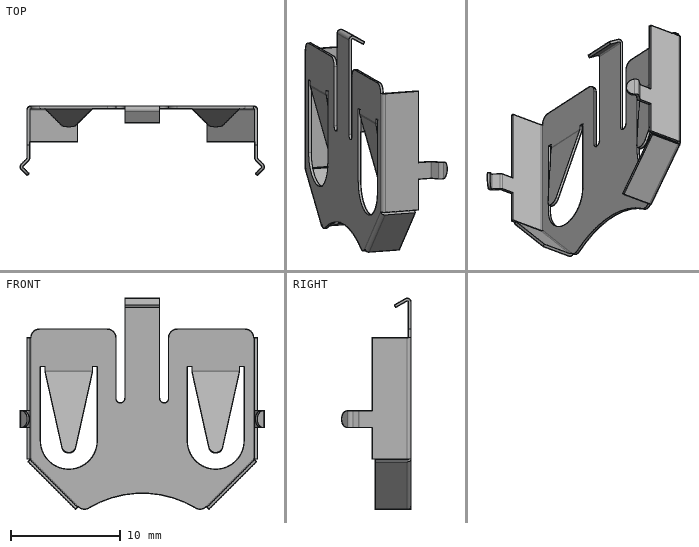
import cadquery as cq
import math


thickness = 0.26
bend_outer_radius = 0.35
bend_mid_radius = bend_outer_radius - thickness / 2

overall_width = 22.35
overall_depth = 6.37
overall_height = 19.32

flange_span = 21.1
plate_half_width = flange_span / 2 - bend_outer_radius
plate_top = 16.5
plate_corner_radius = 0.8
knee_height = 4.6
coin_arc_radius = 9.5
coin_arc_top = 1.47
foot_radius = 0.75

tab_half_width = 1.6
tab_slot_width = 0.8
tab_slot_bottom = 9.75
lip_bend = 120
lip_length = 1.17

window_center_x = 6.72
window_width = 5.18
window_top = 13.05
window_bottom = 3.68
tongue_width = 4.36
tongue_bend_height = 12.65
tongue_bend = 12.5
tongue_length = 7.63
tongue_tip_radius = 0.65

side_flange_depth = 3.57
lower_flange_depth = 3.29
lower_flange_tilt = 45

arm_width = 1.55
arm_center_height = 8.25
arm_bend = 45


def bent_strip(plane, start, heading, steps):
    """Closed edge-on outline of a bent sheet.

    start is on the middle of the sheet, heading is in degrees, and steps are
    ("go", length) or ("turn", degrees), positive turns being to the left.
    """
    x, y = start
    half = thickness / 2

    def face_point(side, px, py, direction):
        angle = math.radians(direction)
        return (px - side * half * math.sin(angle), py + side * half * math.cos(angle))

    stations = [("go", x, y, heading)]
    for kind, amount in steps:
        if kind == "go":
            x += amount * math.cos(math.radians(heading))
            y += amount * math.sin(math.radians(heading))
            stations.append(("go", x, y, heading))
            continue
        chord = 2 * bend_mid_radius * math.sin(math.radians(abs(amount) / 4))
        for bend_station in ("bend middle", "bend end"):
            chord_angle = math.radians(heading + amount / 4)
            x += chord * math.cos(chord_angle)
            y += chord * math.sin(chord_angle)
            heading += amount / 2
            stations.append((bend_station, x, y, heading))

    left = [face_point(1, *station[1:]) for station in stations]
    right = [face_point(-1, *station[1:]) for station in stations]
    kinds = [station[0] for station in stations]

    outline = cq.Workplane(plane).moveTo(*left[0])
    for i in range(1, len(kinds)):
        if kinds[i] == "go":
            outline = outline.lineTo(*left[i])
        elif kinds[i] == "bend end":
            outline = outline.threePointArc(left[i - 1], left[i])
    outline = outline.lineTo(*right[-1])
    for i in range(len(kinds) - 1, 0, -1):
        if kinds[i] == "go":
            outline = outline.lineTo(*right[i - 1])
        elif kinds[i] == "bend end":
            outline = outline.threePointArc(right[i - 1], right[i - 2])
    return outline.close()


def both_sides(left_part):
    return left_part.union(left_part.mirror("YZ"))


def make_tab_slot():
    """Cutter for the round-bottomed slot on the left of the tab, open at the top."""
    radius = tab_slot_width / 2
    center_x = -tab_half_width - radius
    arc_center_z = tab_slot_bottom + radius
    return (
        cq.Workplane("XZ")
        .moveTo(center_x - radius, plate_top)
        .lineTo(center_x - radius, arc_center_z)
        .threePointArc((center_x, tab_slot_bottom), (center_x + radius, arc_center_z))
        .lineTo(center_x + radius, plate_top)
        .close()
        .extrude(thickness)
    )


def make_plate():
    coin_center_z = coin_arc_top - coin_arc_radius
    edge_sum = knee_height - plate_half_width
    middle = (edge_sum + coin_center_z) / 2
    offset = (edge_sum - coin_center_z) / 2
    foot_z = middle + math.sqrt(coin_arc_radius**2 / 2 - offset**2)
    foot_x = edge_sum - foot_z

    body = (
        cq.Workplane("XZ")
        .moveTo(-plate_half_width, plate_top)
        .lineTo(-plate_half_width, knee_height)
        .lineTo(foot_x, foot_z)
        .threePointArc((0, coin_arc_top), (-foot_x, foot_z))
        .lineTo(plate_half_width, knee_height)
        .lineTo(plate_half_width, plate_top)
        .close()
        .extrude(thickness)
    )
    body = body.edges("|Y").edges("<Z").fillet(foot_radius)

    tab_top = overall_height - bend_outer_radius
    tab = (
        cq.Workplane("XZ")
        .center(0, (tab_slot_bottom + tab_top) / 2)
        .rect(2 * tab_half_width, tab_top - tab_slot_bottom)
        .extrude(thickness)
    )
    body = body.union(tab).cut(both_sides(make_tab_slot()))
    return body.edges("|Y").edges(">>Z[-2]").fillet(plate_corner_radius)


def make_lip():
    start = (-thickness / 2, overall_height - bend_outer_radius)
    steps = [("turn", lip_bend), ("go", lip_length)]
    return bent_strip("YZ", start, 90, steps).extrude(tab_half_width, both=True)


def make_window():
    radius = window_width / 2
    arc_center_z = window_bottom + radius
    return (
        cq.Workplane("XZ")
        .moveTo(-window_center_x - radius, window_top)
        .lineTo(-window_center_x - radius, arc_center_z)
        .threePointArc(
            (-window_center_x, window_bottom),
            (-window_center_x + radius, arc_center_z),
        )
        .lineTo(-window_center_x + radius, window_top)
        .close()
        .extrude(thickness)
    )


def make_tongue():
    steps = [
        ("go", window_top - tongue_bend_height),
        ("turn", -tongue_bend),
        ("go", tongue_length),
    ]
    half_width = tongue_width / 2
    strip = (
        bent_strip("YZ", (-thickness / 2, window_top), -90, steps)
        .extrude(half_width, both=True)
        .translate((-window_center_x, 0, 0))
    )
    tip_center = tongue_length - tongue_tip_radius
    side_angle = math.atan2(half_width, tip_center) - math.asin(
        tongue_tip_radius / math.hypot(half_width, tip_center)
    )
    tangent_x = tongue_tip_radius * math.cos(side_angle)
    tangent_y = -tip_center - tongue_tip_radius * math.sin(side_angle)
    tilt = math.radians(tongue_bend)
    outline_plane = cq.Plane(
        origin=(-window_center_x, -thickness, tongue_bend_height),
        xDir=(1, 0, 0),
        normal=(0, -math.cos(tilt), math.sin(tilt)),
    )
    root = window_top - tongue_bend_height + thickness
    outline = (
        cq.Workplane(outline_plane)
        .moveTo(-half_width, root)
        .lineTo(-half_width, 0)
        .lineTo(-tangent_x, tangent_y)
        .threePointArc((0, -tongue_length), (tangent_x, tangent_y))
        .lineTo(half_width, 0)
        .lineTo(half_width, root)
        .close()
        .extrude(2 * thickness, both=True)
    )
    return strip.intersect(outline)


def make_flange(depth, run):
    """Flange bent off an edge that runs along Z from the origin."""
    steps = [("turn", 90), ("go", depth - bend_outer_radius)]
    return bent_strip("XY", (0, -thickness / 2), 180, steps).extrude(run)


def make_side_flange():
    run = plate_top - plate_corner_radius - knee_height
    return make_flange(side_flange_depth, run).translate((-plate_half_width, 0, knee_height))


def make_lower_flange():
    tilt = math.radians(lower_flange_tilt)
    run = (knee_height - bend_outer_radius * math.sin(tilt)) / math.cos(tilt)
    return (
        make_flange(lower_flange_depth, -run)
        .rotate((0, 0, 0), (0, 1, 0), -lower_flange_tilt)
        .translate((-plate_half_width, 0, knee_height))
    )


def make_snap_arm():
    """Arm that runs off the side flange, kinks outwards and returns in a round tip."""
    sine = math.sin(math.radians(arm_bend))
    cosine = math.cos(math.radians(arm_bend))
    tip_radius = arm_width / 2
    flange_mid_x = -(flange_span - thickness) / 2
    overhang = (overall_width - flange_span) / 2
    outward_run = (overhang - 2 * bend_mid_radius * (1 - cosine)) / sine
    kink_depth = 3 * bend_mid_radius * sine + outward_run * cosine
    tip_depth = tip_radius * cosine + thickness / 2 * sine
    straight_run = overall_depth - bend_outer_radius - kink_depth - tip_depth
    steps = [
        ("go", straight_run),
        ("turn", -arm_bend),
        ("go", outward_run),
        ("turn", 2 * arm_bend),
    ]
    arm = (
        bent_strip("XY", (flange_mid_x, -bend_outer_radius), -90, steps)
        .extrude(arm_width)
        .translate((0, 0, arm_center_height - tip_radius))
    )
    tip_x = flange_mid_x - bend_mid_radius * (1 - cosine) - outward_run * sine
    tip_y = -(bend_outer_radius + straight_run + kink_depth)
    tip_plane = cq.Plane(
        origin=(tip_x, tip_y, arm_center_height),
        xDir=(sine, -cosine, 0),
        normal=(cosine, sine, 0),
    )
    tip = (
        cq.Workplane(tip_plane)
        .moveTo(0, -tip_radius)
        .threePointArc((tip_radius, 0), (0, tip_radius))
        .close()
        .extrude(thickness / 2, both=True)
    )
    return arm.union(tip)


result = make_plate().union(make_lip())
result = result.cut(both_sides(make_window()))
for left_part in (make_tongue(), make_side_flange(), make_lower_flange(), make_snap_arm()):
    result = result.union(both_sides(left_part))